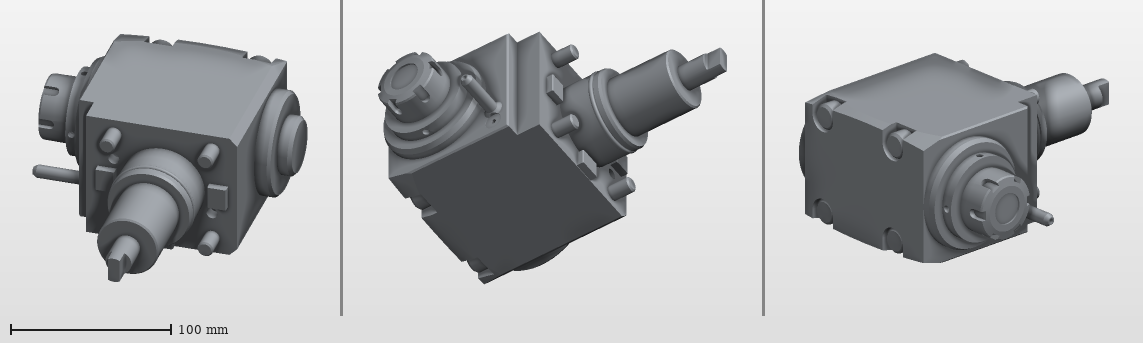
import cadquery as cq
import math


HALF_HEIGHT = 42.5
BACK_Y = 106.0
LEFT_X = -60.2
RIGHT_X = 48.5
STEP_X = -50.0
STEP_Y = 16.6
LEFT_CHAMFER = 1.0
RIGHT_CHAMFER = 5.0

SWING_RADIUS = 480.0
SWING_CENTER_X = -6.7
SWING_TOP_Z = 40.8
SWING_ANGLE = 15.0

SPINDLE_Y = 69.7

FLANGE_RADIUS = BACK_Y - SPINDLE_Y
FLANGE_X = -68.5
FLANGE_CHAMFER_LENGTH = 3.4
FLANGE_CHAMFER_DEPTH = 1.7
COLLAR_RADIUS = 28.2
COLLAR_X = -76.5
SPANNER_HOLE_RADIUS = 2.3
SPANNER_HOLE_DEPTH = 4.2
SPANNER_HOLE_COUNT = 4
NECK_RADIUS = 16.0

NUT_BACK_X = -77.3
NUT_FRONT_X = -97.7
NUT_RADIUS = 21.0
NUT_FACE_RADIUS = 15.0
NUT_CONE_LENGTH = 1.3
NUT_EDGE_LENGTH = 1.3
NUT_EDGE_DEPTH = 0.6
COLLET_RADIUS = 10.3
COLLET_RECESS = 1.3
NUT_SLOT_COUNT = 6
NUT_SLOT_WIDTH = 6.3
NUT_SLOT_END_X = -85.9
NUT_SLOT_FLOOR_RADIUS = 17.5

COVER_RADIUS = 33.9
COVER_X = 58.5
COVER_CHAMFER = 1.9
CAP_RADIUS = 19.2
CAP_X = 67.8
CAP_CHAMFER = 2.3
CAP_RELIEF_WIDTH = 0.6
CAP_RELIEF_DEPTH = 0.6

PILOT_RADIUS = 27.4
PILOT_LENGTH = 30.5
PILOT_CHAMFER_LENGTH = 1.9
PILOT_CHAMFER_DEPTH = 0.8
SEAL_START = 21.5
SEAL_WIDTH = 2.7
SEAL_BULGE = 0.6
GROOVE_END = 25.0
GROOVE_DEPTH = 1.3
SHAFT_RADIUS = 20.0
SHAFT_END = 75.5
SHAFT_CHAMFER = 1.0
DRIVE_RADIUS = 8.5
DRIVE_END = 104.5
TANG_START = 94.5
TANG_THICKNESS = 7.8
TANG_FILLET = 1.0

BOLT_SPACING = 64.0
BOLT_RADIUS = 5.0
BOLT_REACH = 15.2
BOLT_CHAMFER = 1.0
BOLT_HEAD_RADIUS = 8.5
BOLT_HEAD_HEIGHT = 10.5
BOLT_HEAD_CHAMFER = 1.7
POCKET_WIDTH = 18.5
POCKET_DEPTH = 11.8

KEY_HEIGHT = 5.0
KEY_CHAMFER = 0.6
SIDE_KEY_CENTER_X = 36.5
SIDE_KEY_WIDTH = 12.2
SIDE_KEY_LENGTH = 14.7
LOWER_KEY_WIDTH = 15.5
LOWER_KEY_TOP_Z = -30.5
LOWER_KEY_BOTTOM_Z = -42.0

FACE_HOLE_RADIUS = 3.5
FACE_HOLE_DEPTH = 8.5
FACE_HOLE_Z = 14.0

TUBE_Y = 27.8
TUBE_Z = -21.7
TUBE_RADIUS = 4.2
TUBE_END_X = -92.8
TUBE_NOSE_LENGTH = 2.7
TUBE_NOSE_RADIUS = 2.5
TUBE_BORE_RADIUS = 1.7
TUBE_BORE_DEPTH = 8.5
TUBE_FLARE_RADIUS = 6.5
TUBE_FLARE_LENGTH = 1.9
PLUG_Z = -32.0
PLUG_RADIUS = 5.9
PLUG_RECESS = 0.5
PLUG_HEX = 3.8
PLUG_HEX_DEPTH = 3.2

DRILL_POINT_ANGLE = 118.0
EMBED = 2.0


def turned_about_x(profile, y, z=0):
    """Revolve a list of (x, radius) points about the line parallel to X through (y, z)."""
    outline = [(profile[0][0], 0)] + profile + [(profile[-1][0], 0)]
    solid = cq.Workplane("XY").polyline(outline).close().revolve(360, (0, 0, 0), (1, 0, 0))
    return solid.translate((0, y, z))


def turned_about_y(profile, x=0, z=0):
    """Revolve a list of (y, radius) points about the line parallel to Y through (x, z)."""
    points = [(radius, y) for y, radius in profile]
    outline = [(0, points[0][1])] + points + [(0, points[-1][1])]
    solid = cq.Workplane("XY").polyline(outline).close().revolve(360, (0, 0, 0), (0, 1, 0))
    return solid.translate((x, 0, z))


def drilled_hole(radius, depth):
    """Blind hole with a conical bottom, drilled toward +Y from the origin."""
    bore = cq.Workplane("XZ").circle(radius).extrude(-depth)
    point_length = radius / math.tan(math.radians(DRILL_POINT_ANGLE / 2))
    point = cq.Solid.makeCone(radius, 0, point_length, cq.Vector(0, depth, 0), cq.Vector(0, 1, 0))
    return bore.union(cq.Workplane(point))


def swing_envelope():
    """Cone frustum about a line parallel to Y that bounds the upper side of the housing."""
    front_radius = SWING_RADIUS + BACK_Y * math.tan(math.radians(SWING_ANGLE))
    profile = [(0, front_radius), (BACK_Y, SWING_RADIUS)]
    return turned_about_y(profile, SWING_CENTER_X, SWING_TOP_Z - SWING_RADIUS)


def housing_block():
    outline = [
        (STEP_X, 0),
        (RIGHT_X, 0),
        (RIGHT_X, BACK_Y),
        (LEFT_X, BACK_Y),
        (LEFT_X, STEP_Y),
        (STEP_X, STEP_Y),
    ]
    block = cq.Workplane("XY").workplane(offset=-HALF_HEIGHT).polyline(outline).close()
    block = block.extrude(2 * HALF_HEIGHT)
    block = block.faces(">X").edges("|Y").chamfer(RIGHT_CHAMFER)
    block = block.faces("<X").edges("|Y or <Y").chamfer(LEFT_CHAMFER)
    envelope = swing_envelope()
    return block.intersect(envelope).intersect(envelope.mirror("XY"))


def left_spindle_end():
    profile = [
        (LEFT_X + EMBED, FLANGE_RADIUS),
        (FLANGE_X + FLANGE_CHAMFER_LENGTH, FLANGE_RADIUS),
        (FLANGE_X, FLANGE_RADIUS - FLANGE_CHAMFER_DEPTH),
        (FLANGE_X, COLLAR_RADIUS),
        (COLLAR_X, COLLAR_RADIUS),
        (COLLAR_X, NECK_RADIUS),
        (NUT_BACK_X, NECK_RADIUS),
    ]
    end = turned_about_x(profile, SPINDLE_Y)
    drill = drilled_hole(SPANNER_HOLE_RADIUS, SPANNER_HOLE_DEPTH)
    drill = drill.translate(((COLLAR_X + FLANGE_X) / 2, -COLLAR_RADIUS, 0))
    for index in range(SPANNER_HOLE_COUNT):
        turn = index * 360 / SPANNER_HOLE_COUNT
        end = end.cut(drill.rotate((0, 0, 0), (1, 0, 0), turn).translate((0, SPINDLE_Y, 0)))
    return end


def right_spindle_end():
    relief_radius = CAP_RADIUS - CAP_RELIEF_DEPTH
    profile = [
        (RIGHT_X - EMBED, COVER_RADIUS),
        (COVER_X - COVER_CHAMFER, COVER_RADIUS),
        (COVER_X, COVER_RADIUS - COVER_CHAMFER),
        (COVER_X, relief_radius),
        (COVER_X + CAP_RELIEF_WIDTH, relief_radius),
        (COVER_X + CAP_RELIEF_WIDTH, CAP_RADIUS),
        (CAP_X - CAP_CHAMFER, CAP_RADIUS),
        (CAP_X, CAP_RADIUS - CAP_CHAMFER),
    ]
    return turned_about_x(profile, SPINDLE_Y)


def shank():
    groove_floor = PILOT_RADIUS - GROOVE_DEPTH
    body = turned_about_y([
        (EMBED, PILOT_RADIUS),
        (-SEAL_START, PILOT_RADIUS),
        (-SEAL_START, groove_floor),
        (-GROOVE_END, groove_floor),
        (-GROOVE_END, PILOT_RADIUS),
        (PILOT_CHAMFER_LENGTH - PILOT_LENGTH, PILOT_RADIUS),
        (-PILOT_LENGTH, PILOT_RADIUS - PILOT_CHAMFER_DEPTH),
        (-PILOT_LENGTH, SHAFT_RADIUS),
        (SHAFT_CHAMFER - SHAFT_END, SHAFT_RADIUS),
        (-SHAFT_END, SHAFT_RADIUS - SHAFT_CHAMFER),
        (-SHAFT_END, DRIVE_RADIUS),
        (-TANG_START, DRIVE_RADIUS),
    ])
    crown_y = -SEAL_START - SEAL_WIDTH / 2
    seal_end_y = -SEAL_START - SEAL_WIDTH
    seal = (
        cq.Workplane("XY")
        .moveTo(groove_floor - EMBED, -SEAL_START)
        .lineTo(PILOT_RADIUS, -SEAL_START)
        .threePointArc((PILOT_RADIUS + SEAL_BULGE, crown_y), (groove_floor, seal_end_y))
        .lineTo(groove_floor - EMBED, seal_end_y)
        .close()
        .revolve(360, (0, 0, 0), (0, 1, 0))
    )
    return body.union(seal).union(drive_tang())


def drive_tang():
    """Flat tang with filleted roots, inside the round of the drive stub."""
    half = TANG_THICKNESS / 2
    root = half + TANG_FILLET
    fillet_end = -TANG_START - TANG_FILLET
    outline = (
        cq.Workplane("XY")
        .workplane(offset=-DRIVE_RADIUS)
        .moveTo(-half, -DRIVE_END)
        .lineTo(half, -DRIVE_END)
        .lineTo(half, fillet_end)
        .radiusArc((root, -TANG_START), TANG_FILLET)
        .lineTo(root, EMBED - TANG_START)
        .lineTo(-root, EMBED - TANG_START)
        .lineTo(-root, -TANG_START)
        .radiusArc((-half, fillet_end), TANG_FILLET)
        .close()
    )
    stub = turned_about_y([(0, DRIVE_RADIUS), (-DRIVE_END, DRIVE_RADIUS)])
    return outline.extrude(2 * DRIVE_RADIUS).intersect(stub)


def bolt_pocket(x, side):
    """Round-bottomed pocket in the back, open to the upper (side=1) or lower (side=-1) face."""
    floor_y = BACK_Y - POCKET_DEPTH
    center_z = side * BOLT_SPACING / 2
    round_end = turned_about_y([(floor_y, POCKET_WIDTH / 2), (BACK_Y, POCKET_WIDTH / 2)], x, center_z)
    opening = cq.Workplane("XY").box(POCKET_WIDTH, POCKET_DEPTH, HALF_HEIGHT, centered=(True, False, False))
    if side < 0:
        opening = opening.mirror("XY")
    return round_end.union(opening.translate((x, floor_y, center_z)))


def bolt(x, z):
    head_seat = BACK_Y - POCKET_DEPTH
    head_end = head_seat + BOLT_HEAD_HEIGHT
    return turned_about_y([
        (-BOLT_REACH, BOLT_RADIUS - BOLT_CHAMFER),
        (BOLT_CHAMFER - BOLT_REACH, BOLT_RADIUS),
        (head_seat - EMBED, BOLT_RADIUS),
        (head_seat - EMBED, BOLT_HEAD_RADIUS),
        (head_end - BOLT_HEAD_CHAMFER, BOLT_HEAD_RADIUS),
        (head_end, BOLT_HEAD_RADIUS - BOLT_HEAD_CHAMFER),
    ], x, z)


def key(width, height, x, z):
    block = cq.Workplane("XY").box(width, KEY_HEIGHT + EMBED, height, centered=(True, False, True))
    block = block.faces("<Y").edges("|Z").chamfer(KEY_CHAMFER)
    return block.translate((x, -KEY_HEIGHT, z))


def coolant_tube():
    tube = turned_about_x([
        (LEFT_X + EMBED, TUBE_FLARE_RADIUS),
        (LEFT_X, TUBE_FLARE_RADIUS),
        (LEFT_X - TUBE_FLARE_LENGTH, TUBE_RADIUS),
        (TUBE_END_X + TUBE_NOSE_LENGTH, TUBE_RADIUS),
        (TUBE_END_X, TUBE_NOSE_RADIUS),
    ], TUBE_Y, TUBE_Z)
    bore = [(TUBE_END_X, TUBE_BORE_RADIUS), (TUBE_END_X + TUBE_BORE_DEPTH, TUBE_BORE_RADIUS)]
    return tube.cut(turned_about_x(bore, TUBE_Y, TUBE_Z))


def plug_recess():
    """Recessed plug face with a hex socket; its round also bites into the flare of the tube."""
    face = cq.Workplane("YZ", origin=(LEFT_X, TUBE_Y, PLUG_Z))
    socket = face.polygon(6, PLUG_HEX).extrude(PLUG_HEX_DEPTH)
    round_cut = face.workplane(offset=-TUBE_FLARE_LENGTH).circle(PLUG_RADIUS)
    return round_cut.extrude(TUBE_FLARE_LENGTH + PLUG_RECESS).union(socket)


def make_housing():
    half_spacing = BOLT_SPACING / 2
    body = housing_block()
    for x in (-half_spacing, half_spacing):
        for side in (-1, 1):
            body = body.cut(bolt_pocket(x, side))
            body = body.union(bolt(x, side * half_spacing))
    body = body.union(left_spindle_end()).union(right_spindle_end())
    body = body.union(shank()).union(coolant_tube()).cut(plug_recess())
    for x in (-SIDE_KEY_CENTER_X, SIDE_KEY_CENTER_X):
        body = body.union(key(SIDE_KEY_WIDTH, SIDE_KEY_LENGTH, x, 0))
    lower_key_height = LOWER_KEY_TOP_Z - LOWER_KEY_BOTTOM_Z
    lower_key_z = (LOWER_KEY_TOP_Z + LOWER_KEY_BOTTOM_Z) / 2
    body = body.union(key(LOWER_KEY_WIDTH, lower_key_height, 0, lower_key_z))
    pointed_hole = drilled_hole(FACE_HOLE_RADIUS, FACE_HOLE_DEPTH)
    body = body.cut(pointed_hole.translate((-half_spacing, 0, FACE_HOLE_Z)))
    flat_hole = turned_about_y(
        [(0, FACE_HOLE_RADIUS), (FACE_HOLE_DEPTH, FACE_HOLE_RADIUS)], half_spacing, -FACE_HOLE_Z
    )
    return body.cut(flat_hole)


def nut_slot(turn):
    """Spanner slot with a flat floor and a round inner end, turned about the spindle axis."""
    half_width = NUT_SLOT_WIDTH / 2
    arc_center_x = NUT_SLOT_END_X - half_width
    slot = (
        cq.Workplane("XY")
        .workplane(offset=NUT_SLOT_FLOOR_RADIUS)
        .moveTo(NUT_FRONT_X, -half_width)
        .lineTo(arc_center_x, -half_width)
        .threePointArc((NUT_SLOT_END_X, 0), (arc_center_x, half_width))
        .lineTo(NUT_FRONT_X, half_width)
        .close()
        .extrude(NUT_RADIUS)
    )
    return slot.rotate((0, 0, 0), (1, 0, 0), turn).translate((0, SPINDLE_Y, 0))


def make_nut():
    cone_end_x = NUT_FRONT_X + NUT_CONE_LENGTH
    nut = turned_about_x([
        (NUT_FRONT_X + COLLET_RECESS, COLLET_RADIUS),
        (NUT_FRONT_X, COLLET_RADIUS),
        (NUT_FRONT_X, NUT_FACE_RADIUS),
        (cone_end_x, NUT_RADIUS - NUT_EDGE_DEPTH),
        (cone_end_x + NUT_EDGE_LENGTH, NUT_RADIUS),
        (NUT_BACK_X, NUT_RADIUS),
    ], SPINDLE_Y)
    first_turn = 90
    for index in range(NUT_SLOT_COUNT):
        nut = nut.cut(nut_slot(first_turn + index * 360 / NUT_SLOT_COUNT))
    return nut


housing = make_housing()
nut = make_nut()
result = cq.Compound.makeCompound([housing.val(), nut.val()])